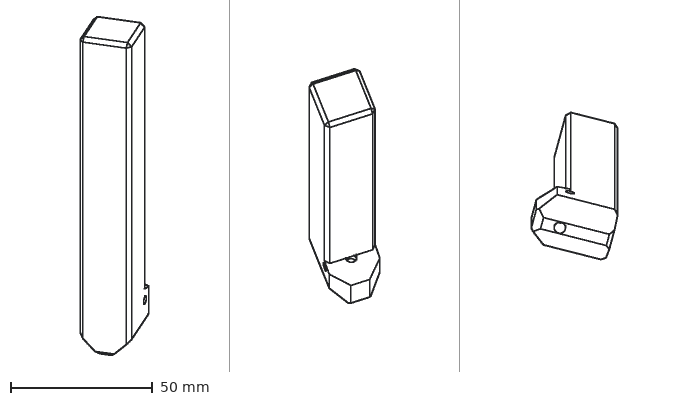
import cadquery as cq
import math

height = 125.0
width = 19.0
foot_depth = 28.5
edge_chamfer = 1.5

side_bevel = 7.4
back_corner_chamfer = 6.0
back_bottom_chamfer = 3.0
foot_back_height = 16.6
foot_top_slope = 15.0

cross_hole_diameter = 3.0
cross_hole_height = 15.1
cross_hole_from_back = 10.8
drain_hole_diameter = 4.0

bar_depth = width
half_width = width / 2
slope_rise = math.tan(math.radians(foot_top_slope))
foot_front_height = foot_back_height + foot_depth * slope_rise
bar_face_height = foot_back_height + (foot_depth - bar_depth) * slope_rise


def make_bar():
    """Full-height square bar with chamfered upright and top edges."""
    bar = cq.Workplane("XY").box(width, bar_depth, height, centered=(True, False, False))
    return bar.edges("|Z or >Z").chamfer(edge_chamfer)


def make_foot():
    """Foot with a sloping top and chamfered upright corners."""
    foot = (
        cq.Workplane("YZ")
        .polyline([(0, 0), (foot_depth, 0), (foot_depth, foot_back_height), (0, foot_front_height)])
        .close()
        .extrude(half_width, both=True)
    )
    foot = foot.edges("|Z and <Y").chamfer(edge_chamfer)
    return foot.edges("|Z and >Y").chamfer(back_corner_chamfer)


def side_envelope():
    """Side outline that chamfers the front and back of the bottom."""
    return (
        cq.Workplane("YZ")
        .moveTo(edge_chamfer, 0)
        .lineTo(foot_depth - back_bottom_chamfer, 0)
        .lineTo(foot_depth, back_bottom_chamfer)
        .lineTo(foot_depth, height)
        .lineTo(0, height)
        .lineTo(0, edge_chamfer)
        .close()
        .extrude(half_width, both=True)
    )


def front_envelope():
    """Front outline that bevels both lower sides at 45 degrees."""
    return (
        cq.Workplane("XZ")
        .moveTo(side_bevel - half_width, 0)
        .lineTo(half_width - side_bevel, 0)
        .lineTo(half_width, side_bevel)
        .lineTo(half_width, height)
        .lineTo(-half_width, height)
        .lineTo(-half_width, side_bevel)
        .close()
        .extrude(-foot_depth)
    )


cross_hole = (
    cq.Workplane("YZ")
    .center(foot_depth - cross_hole_from_back, cross_hole_height)
    .circle(cross_hole_diameter / 2)
    .extrude(half_width, both=True)
)

drain_hole = (
    cq.Workplane("XY")
    .center(0, bar_depth)
    .circle(drain_hole_diameter / 2)
    .extrude(bar_face_height)
)

body = make_bar().union(make_foot())
body = body.intersect(side_envelope()).intersect(front_envelope())
result = body.cut(cross_hole).cut(drain_hole)